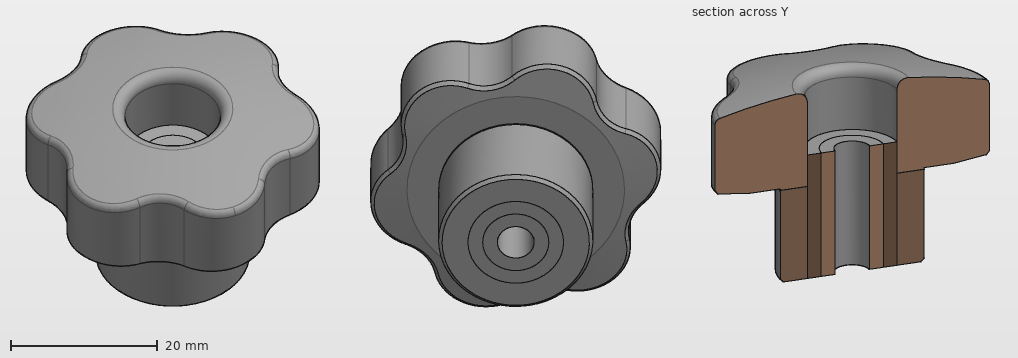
import cadquery as cq
import math

lobe_count = 6
knob_diameter = 40.0
lobe_radius = 7.0
valley_radius = 6.0
lobe_centre_radius = knob_diameter / 2 - lobe_radius

hub_top = 13.6
knob_bottom = 13.85
inner_top = 18.3
dome_apex = 28.0

dome_radius = 79.98
flat_diameter = 29.6
underside_angle = 7.0
rim_round = 1.0
rim_chamfer = 0.48
bore_round = 1.5

prism_height = 32.0
blank_radius = 24.0

hub_diameter = 21.0
bore_diameter = 13.0
bushing_diameter = 9.0
shaft_hole_diameter = 5.0
hub_chamfer = 0.48


def polar(radius, angle):
    """Point at the given radius and angle in degrees."""
    return (radius * math.cos(math.radians(angle)), radius * math.sin(math.radians(angle)))


def lobed_prism():
    """Prism whose outline alternates tangent lobe arcs and valley arcs."""
    half_pitch = 180 / lobe_count
    centre_distance = lobe_radius + valley_radius
    along = lobe_centre_radius * math.cos(math.radians(half_pitch))
    across = lobe_centre_radius * math.sin(math.radians(half_pitch))
    valley_centre_radius = along + math.sqrt(centre_distance**2 - across**2)

    lobe_x, lobe_y = polar(lobe_centre_radius, 0)
    valley_x, valley_y = polar(valley_centre_radius, half_pitch)
    share = lobe_radius / centre_distance
    tangent_x = lobe_x + share * (valley_x - lobe_x)
    tangent_y = lobe_y + share * (valley_y - lobe_y)
    tangent_radius = math.hypot(tangent_x, tangent_y)
    tangent_angle = math.degrees(math.atan2(tangent_y, tangent_x))

    outline = cq.Workplane("XY").moveTo(*polar(tangent_radius, -tangent_angle))
    for lobe in range(lobe_count):
        lobe_angle = lobe * 2 * half_pitch
        outline = outline.threePointArc(
            polar(knob_diameter / 2, lobe_angle),
            polar(tangent_radius, lobe_angle + tangent_angle),
        )
        outline = outline.threePointArc(
            polar(valley_centre_radius - valley_radius, lobe_angle + half_pitch),
            polar(tangent_radius, lobe_angle + 2 * half_pitch - tangent_angle),
        )
    return outline.close().extrude(prism_height)


def knob_blank():
    """Round blank with boss, coned underside, spherical top and a rounded bore mouth."""
    bore_radius = bore_diameter / 2
    hub_radius = hub_diameter / 2
    flat_radius = flat_diameter / 2
    rim_bottom = knob_bottom + (blank_radius - flat_radius) * math.tan(math.radians(underside_angle))
    dome_centre_height = dome_apex - dome_radius

    def dome_point(radius):
        return (radius, dome_centre_height + math.sqrt(dome_radius**2 - radius**2))

    round_centre_radius = bore_radius + bore_round
    centre_gap = dome_radius - bore_round
    round_centre_height = dome_centre_height + math.sqrt(centre_gap**2 - round_centre_radius**2)
    mouth_radius = round_centre_radius * dome_radius / centre_gap
    round_middle = (
        round_centre_radius - bore_round * math.sqrt(0.5),
        round_centre_height + bore_round * math.sqrt(0.5),
    )

    return (
        cq.Workplane("XZ")
        .moveTo(bore_radius, hub_top)
        .lineTo(hub_radius, hub_top)
        .lineTo(hub_radius, knob_bottom)
        .lineTo(flat_radius, knob_bottom)
        .lineTo(blank_radius, rim_bottom)
        .lineTo(*dome_point(blank_radius))
        .threePointArc(dome_point((blank_radius + mouth_radius) / 2), dome_point(mouth_radius))
        .threePointArc(round_middle, (bore_radius, round_centre_height))
        .close()
        .revolve(360, (0, 0, 0), (0, 1, 0))
    )


def tube(outer_diameter, inner_diameter, height):
    """Upright tube on the Z axis, standing on the lower end of the hub."""
    return cq.Workplane("XY").circle(outer_diameter / 2).circle(inner_diameter / 2).extrude(height)


def rim_edges(body, face_type):
    """Edges where the lobed wall meets the dome or the underside cone; only these are free curves."""
    return body.faces(face_type).edges().filter(lambda edge: edge.geomType() == "BSPLINE")


def make_knob():
    """Lobed hand knob with a rounded bore and a short boss that meets the hub."""
    body = lobed_prism().intersect(knob_blank())
    body = rim_edges(body, "%SPHERE").fillet(rim_round)
    return rim_edges(body, "%CONE").chamfer(rim_chamfer)


def make_hub():
    """Outer sleeve below the knob, chamfered at its lower end."""
    sleeve = tube(hub_diameter, bore_diameter, hub_top)
    return sleeve.faces("<Z").edges(cq.selectors.RadiusNthSelector(1)).chamfer(hub_chamfer)


def make_ring():
    """Ring filling the bore around the bushing."""
    return tube(bore_diameter, bushing_diameter, inner_top)


def make_bushing():
    """Central bushing with the through hole for the shaft."""
    return tube(bushing_diameter, shaft_hole_diameter, inner_top)


knob = make_knob()
hub = make_hub()
ring = make_ring()
bushing = make_bushing()

result = cq.Compound.makeCompound([knob.val(), hub.val(), ring.val(), bushing.val()])